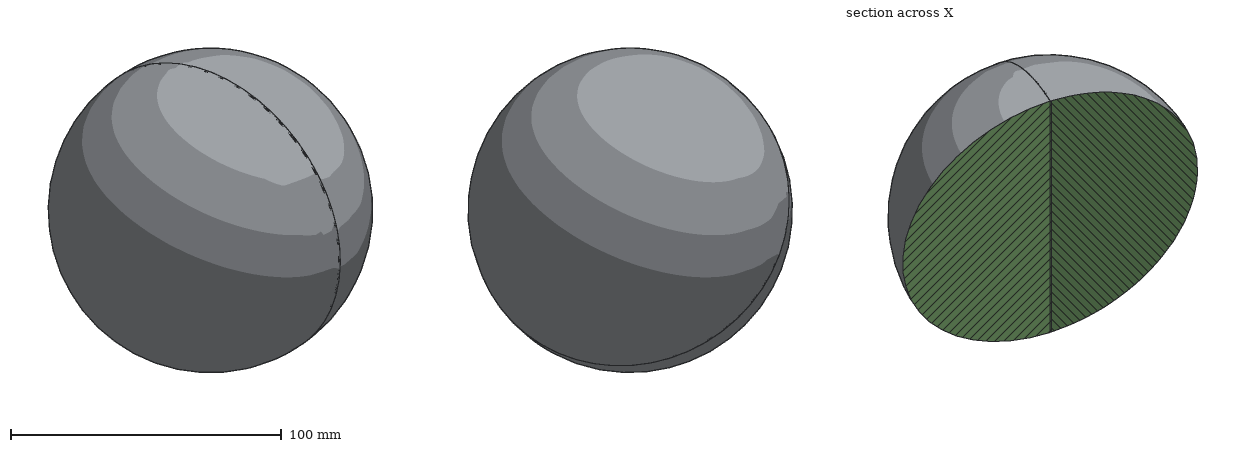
import cadquery as cq

ball_radius = 60.0
front_turn = 33.3

disc_radius = 59.5
disc_thickness = 0.5


def make_half_ball():
    """Solid half ball on the +Y side, with its poles on the Z axis."""
    half_ball = (
        cq.Workplane("XZ")
        .moveTo(0, -ball_radius)
        .threePointArc((ball_radius, 0), (0, ball_radius))
        .close()
        .revolve(180, (0, 0, 0), (0, 1, 0))
    )
    return half_ball


def make_disc():
    """Flat disc from the split plane into the front half."""
    return cq.Workplane("XZ").circle(disc_radius).extrude(disc_thickness)


def make_front_half():
    """Half ball on the -Y side, turned about Y, with a recess that fits the disc."""
    half_ball = make_half_ball().rotate((0, 0, 0), (0, 0, 1), 180)
    turned = half_ball.rotate((0, 0, 0), (0, 1, 0), -front_turn)
    return turned.cut(make_disc())


back_half = make_half_ball()
front_half = make_front_half()
disc = make_disc()

result = cq.Compound.makeCompound([back_half.val(), front_half.val(), disc.val()])